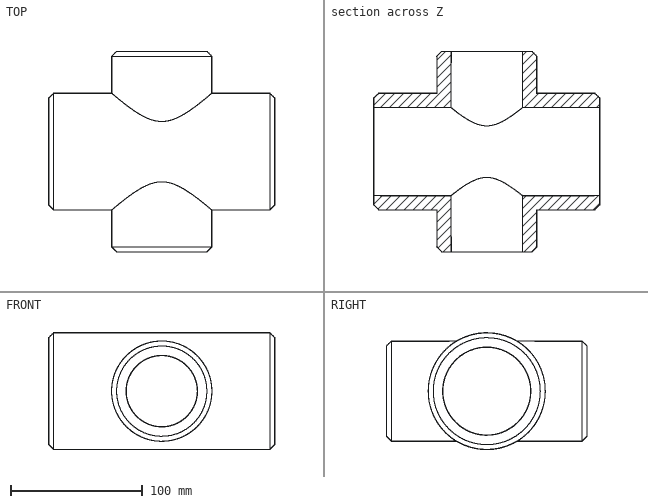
import cadquery as cq

run_length = 171.7
run_outer_diameter = 88.9

branch_length = 152.4
branch_outer_diameter = 76.2

wall_thickness = 11.1
end_bevel = 3.8

run_bore_diameter = run_outer_diameter - 2 * wall_thickness
branch_bore_diameter = branch_outer_diameter - 2 * wall_thickness


def cylinder(plane, diameter, length):
    """Cylinder centred on the origin, its axis normal to the plane."""
    return cq.Workplane(plane).circle(diameter / 2).extrude(length / 2, both=True)


def bevelled_cylinder(plane, diameter, length):
    """Centred cylinder with a 45 degree bevel around both ends."""
    end_faces = cylinder(plane, diameter, length).faces("%PLANE")
    return end_faces.edges().chamfer(end_bevel)


run_body = bevelled_cylinder("YZ", run_outer_diameter, run_length)
branch_body = bevelled_cylinder("XZ", branch_outer_diameter, branch_length)
cross_body = run_body.union(branch_body)

run_bore = cylinder("YZ", run_bore_diameter, run_length)
branch_bore = cylinder("XZ", branch_bore_diameter, branch_length)

result = cross_body.cut(run_bore).cut(branch_bore)